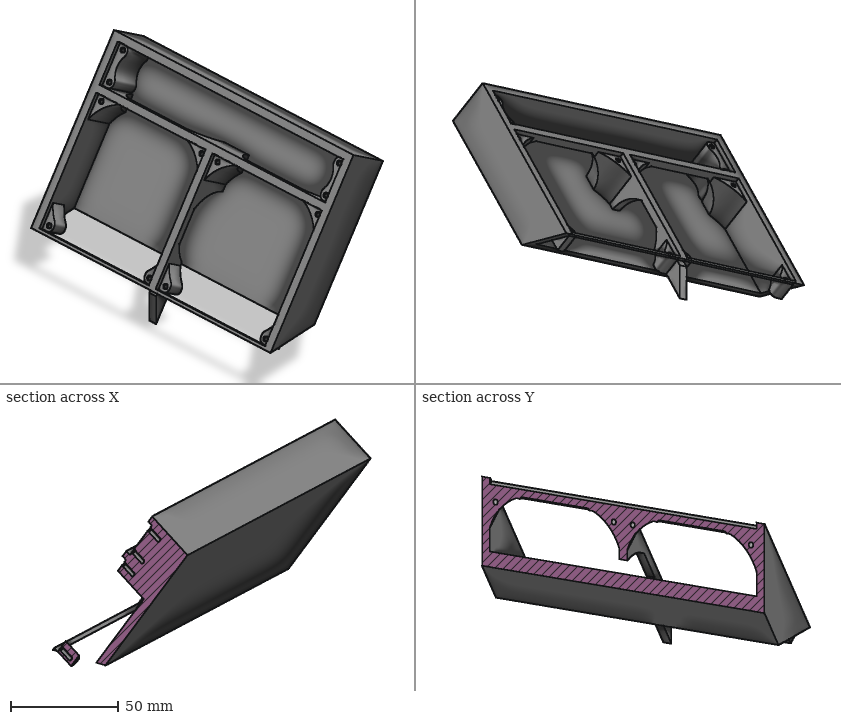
import cadquery as cq
import math

tilt = 35.0
width = 150.0
face_length = 101.0
box_depth = 25.2
inner_depth = 20.7
side_wall = 4.4
bar = 4.0
seat_depth = 2.4
top_opening_height = 22.0

bore_width = 71.8
bore_corner_radius = 23.4
lower_post_end = 12.0
passage_round = 20.0
passage_axis_depth = 21.9
passage_clearance = 4.0
wall_passage_drop = 2.2

post_size = 5.7
screw_diameter = 2.1
mouth_diameter = 2.5
mouth_depth = 0.8
screw_depth = 7.5
scallop_radius = 10.8
scallop_reach = 3.6

prop_front = 2.8
prop_setback = 1.4

post_round = post_size / 2
screw_inset = post_size / 2

floor_slope = math.tan(math.radians(tilt))
cell_width = (width - 3 * side_wall) / 2
cell_bottom = seat_depth * floor_slope
top_opening_high = face_length - bar
top_opening_low = top_opening_high - top_opening_height
cell_top = top_opening_low - bar
cell_mid_y = (cell_top + cell_bottom) / 2
cell_mid_x = (cell_width + side_wall) / 2
top_opening_width = width - 2 * side_wall
top_opening_mid_y = top_opening_low + top_opening_height / 2


def block(x0, x1, y0, y1, depth0, depth1):
    """Box between two x, two y and two depths below the face."""
    size = (x1 - x0, y1 - y0, depth1 - depth0)
    return cq.Workplane("XY").box(*size, centered=False).translate((x0, y0, -depth1))


def side_profile(points, thickness):
    """Extrude (y, depth) points equally to both sides of x = 0."""
    outline = [(y, -depth) for y, depth in points]
    return cq.Workplane("YZ").polyline(outline).close().extrude(thickness / 2, both=True)


def outer_block():
    """Slab with a square top end and an underside that is level once it stands."""
    back_foot = box_depth * floor_slope
    return side_profile(
        [(0, 0), (face_length, 0), (face_length, box_depth), (back_foot, box_depth)], width
    )


def top_posts(side):
    """Pair of posts at one end of the upper opening, joined by a hollowed web."""
    wall_x = side * top_opening_width / 2
    inner_x = wall_x - side * post_size
    posts = block(
        min(wall_x, inner_x), max(wall_x, inner_x), top_opening_low, top_opening_high, seat_depth, inner_depth
    )
    hollow_x = wall_x - side * (scallop_reach + scallop_radius)
    hollow = (
        cq.Workplane("XY", origin=(hollow_x, top_opening_mid_y, -inner_depth))
        .circle(scallop_radius).extrude(inner_depth)
    )
    web = posts.cut(hollow)
    farthest = ">X" if side < 0 else "<X"
    return web.edges("|Z").edges(farthest).fillet(post_round)


def cell_corners(mid_x):
    """Material left in the corners of one cell around its bore."""
    left = mid_x - cell_width / 2
    right = mid_x + cell_width / 2
    bore = (
        block(
            mid_x - bore_width / 2, mid_x + bore_width / 2,
            cell_mid_y - bore_width / 2, cell_mid_y + bore_width / 2,
            0, inner_depth,
        )
        .edges("|Z").fillet(bore_corner_radius)
    )
    corners = block(left, right, cell_mid_y, cell_top, seat_depth, inner_depth).cut(bore)
    for x0, inner_side in ((left, ">X"), (right - post_size, "<X")):
        post = block(x0, x0 + post_size, cell_bottom, cell_mid_y, seat_depth, lower_post_end)
        post = post.cut(bore)
        post = post.edges("|Z").edges(inner_side).fillet(post_round)
        corners = corners.union(post)
    return corners


def clear_of_face(passage):
    """Keep only the part of a passage between the back plate and the thickness behind the face."""
    return passage.intersect(
        block(-width, width, 0, face_length, passage_clearance, inner_depth)
    )


def passage_to_top(mid_x):
    """Round-cornered passage from a cell through the bar into the upper opening."""
    span = cell_width - 2 * post_size
    passage = (
        cq.Workplane("XZ", origin=(mid_x, top_opening_low, -passage_axis_depth))
        .slot2D(span, 2 * passage_round).extrude(top_opening_low - cell_mid_y)
    )
    return clear_of_face(passage)


def passage_through_wall():
    """Round passage from cell to cell; behind the lower posts it also opens downwards."""
    passage = (
        cq.Workplane("YZ", origin=(0, cell_mid_y - wall_passage_drop, -passage_axis_depth))
        .circle(passage_round).extrude(side_wall / 2, both=True)
    )
    half_wall = side_wall / 2
    opening_below = block(-half_wall, half_wall, 0, cell_mid_y, lower_post_end, inner_depth)
    return clear_of_face(passage).union(opening_below)


def screw_holes():
    """Stepped blind holes at the centre of every post and cell corner."""
    spots = []
    for side in (-1, 1):
        x = side * (top_opening_width / 2 - screw_inset)
        spots += [(x, top_opening_low + screw_inset), (x, top_opening_high - screw_inset)]
        for offset in (-1, 1):
            x = side * cell_mid_x + offset * (cell_width / 2 - screw_inset)
            spots += [(x, cell_bottom + screw_inset), (x, cell_top - screw_inset)]
    seats = cq.Workplane("XY", origin=(0, 0, -seat_depth)).pushPoints(spots)
    mouths = seats.circle(mouth_diameter / 2).extrude(-mouth_depth)
    return seats.circle(screw_diameter / 2).extrude(-screw_depth).union(mouths)


def prop():
    """Plate carrying the middle wall on below the underside, cut off upright at the front."""
    sine = math.sin(math.radians(tilt))
    cosine = math.cos(math.radians(tilt))
    upright = [((prop_setback - depth * cosine) / sine, depth) for depth in (prop_front, lower_post_end)]
    root = lower_post_end * floor_slope
    return side_profile(upright + [(root, lower_post_end), (root, prop_front)], side_wall)


body = outer_block()
body = body.cut(
    block(-top_opening_width / 2, top_opening_width / 2, top_opening_low, top_opening_high, 0, inner_depth)
)
for mid_x in (-cell_mid_x, cell_mid_x):
    left = mid_x - cell_width / 2
    body = body.cut(block(left, left + cell_width, cell_bottom, cell_top, 0, inner_depth))
    body = body.union(cell_corners(mid_x))
for side in (-1, 1):
    body = body.union(top_posts(side))
body = body.union(prop())

for mid_x in (-cell_mid_x, cell_mid_x):
    body = body.cut(passage_to_top(mid_x))
body = body.cut(passage_through_wall())
body = body.cut(screw_holes())
result = body.rotate((0, 0, 0), (1, 0, 0), 90 - tilt)